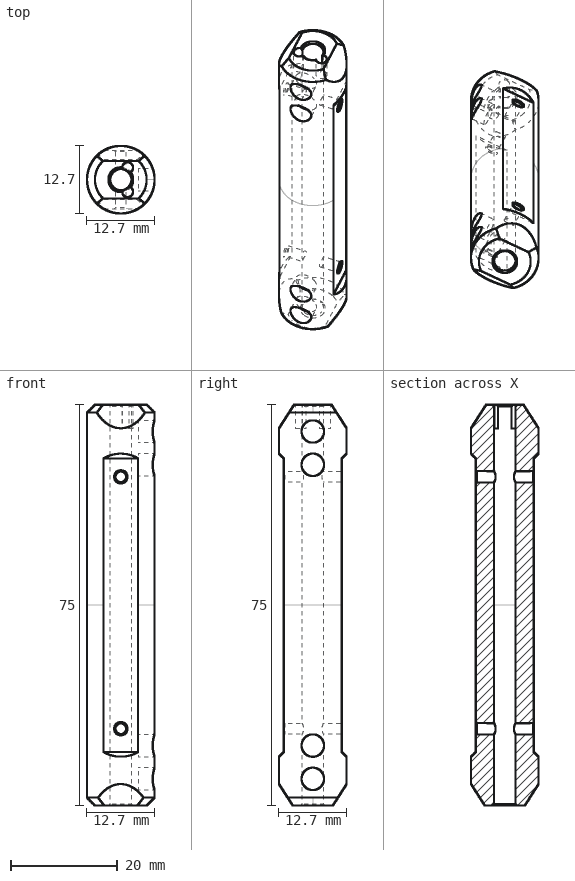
import cadquery as cq
import math

length = 75.0
half_length = length / 2
rod_diameter = 12.7
rod_radius = rod_diameter / 2
end_chamfer = 1.5
top = 1
bottom = -1
both_ends = (top, bottom)

facet_slope = 0.64
facet_heights = {top: 4.4, bottom: 4.05}

flat_half_width = 3.2
flat_offset = math.sqrt(rod_radius**2 - flat_half_width**2)
flat_end_inset = 10.05
flat_end_z = half_length - flat_end_inset

clear_offset = rod_radius + 0.4

cross_hole_diameter = 2.0
cross_hole_mouth_diameter = 2.5
cross_hole_insets = {top: 13.5, bottom: 14.4}

bore_diameter = 4.0
bore_mouth_diameter = 4.65

pin_diameter = 2.0
pin_x = 1.3
pin_y = 2.25
pin_depth = 4.5

side_hole_diameter = 4.2
side_hole_depth = 3.0
side_hole_insets = (5.0, 11.25)


def countersink(mouth_diameter, hole_diameter, center, inward):
    """45 degree cone, widest at center and narrowing along the inward direction."""
    mouth_radius = mouth_diameter / 2
    hole_radius = hole_diameter / 2
    depth = mouth_radius - hole_radius
    return cq.Workplane(
        cq.Solid.makeCone(mouth_radius, hole_radius, depth, cq.Vector(*center), cq.Vector(*inward))
    )


def end_outline(end):
    """Points (y, z) on the +Y side of one end, from its end face to its end of the flat."""
    facet_drop = facet_heights[end] + (clear_offset - rod_radius) / facet_slope
    face_half_width = rod_radius - facet_slope * facet_heights[end]
    return [
        (face_half_width, end * half_length),
        (clear_offset, end * (half_length - facet_drop)),
        (clear_offset, end * (flat_end_z + clear_offset - flat_offset)),
        (flat_offset, end * flat_end_z),
    ]


def make_rod():
    """Round rod with chamfered ends, trimmed in Y by the end facets and the long flats."""
    rod = cq.Workplane("XY").circle(rod_radius).extrude(half_length, both=True)
    rod = rod.faces("<Z or >Z").chamfer(end_chamfer)
    right_side = end_outline(top) + end_outline(bottom)[::-1]
    left_side = [(-y, z) for y, z in reversed(right_side)]
    envelope = (
        cq.Workplane("YZ").polyline(right_side + left_side).close()
        .extrude(rod_diameter, both=True)
    )
    return rod.intersect(envelope)


def cut_bore(body):
    """Through bore along Z with a countersink at each end."""
    body = body.cut(cq.Workplane("XY").circle(bore_diameter / 2).extrude(length, both=True))
    for end in both_ends:
        face_center = (0, 0, end * half_length)
        body = body.cut(countersink(bore_mouth_diameter, bore_diameter, face_center, (0, 0, -end)))
    return body


def cut_pin_sockets(body):
    """Two blind sockets in the top face that break into the bore."""
    sockets = (
        cq.Workplane("XY", origin=(0, 0, half_length))
        .pushPoints([(pin_x, pin_y), (pin_x, -pin_y)])
        .circle(pin_diameter / 2).extrude(-pin_depth)
    )
    return body.cut(sockets)


def cut_cross_holes(body):
    """Holes along Y through both flats, countersunk on each flat."""
    for end in both_ends:
        z = end * (half_length - cross_hole_insets[end])
        hole = cq.Workplane("XZ", origin=(0, 0, z)).circle(cross_hole_diameter / 2)
        body = body.cut(hole.extrude(rod_diameter, both=True))
        for side in (1, -1):
            mouth_center = (0, side * flat_offset, z)
            body = body.cut(
                countersink(cross_hole_mouth_diameter, cross_hole_diameter, mouth_center, (0, -side, 0))
            )
    return body


def cut_side_holes(body):
    """Blind radial holes in the +X side."""
    centers = [(0, end * (half_length - inset)) for end in both_ends for inset in side_hole_insets]
    holes = (
        cq.Workplane("YZ", origin=(rod_radius, 0, 0)).pushPoints(centers)
        .circle(side_hole_diameter / 2).extrude(-side_hole_depth)
    )
    return body.cut(holes)


result = make_rod()
result = cut_bore(result)
result = cut_pin_sockets(result)
result = cut_cross_holes(result)
result = cut_side_holes(result)